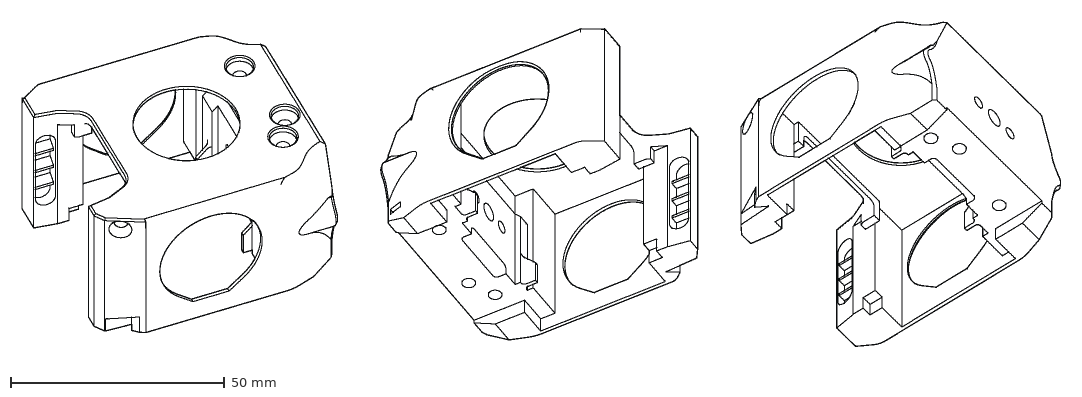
import cadquery as cq
import math

width = 53.0
length = 59.85
height = 36.5
half_width = width / 2
wall = 0.95
margin = 3.0
near = 0.05
overlap = 0.6

left_foot_front_x = -23.5
left_foot_chamfer_y = 4.9
left_foot_blend_radius = 5.7
right_foot_front_x = 19.8
right_foot_mid = (22.25, 1.7)
right_foot_side = (half_width, 10.35)

notch_front_x = 16.35
bay_half_width = 15.45
notch_bend_y = 5.5
notch_bend_x = 15.5
notch_back_half = 12.55
notch_back_radius = 4.05
notch_back_y = 11.95
notch_chamfer = 0.5
opening_half_width = 13.35
opening_top = 33.1
opening_radius = 1.5
gusset_bottom = 28.5
gusset_front_y = 9.3
foot_face_top = 32.3
lip_radius = 1.2
beam_thickness = 1.55
beam_back_y = notch_back_y + beam_thickness
chamber_front_y = 12.2

edge_round_drop = 3.5
edge_round_inset = 0.7

rear_wall_front_y = 42.2
rear_bay_left_x = -18.1
bay_back_y = 47.1
ledge_front_y = 43.8
ledge_top_z = 28.25
ledge_step_z = ledge_top_z - (bay_back_y - ledge_front_y)
raised_bottom_z = 3.9
recess_front_y = 8.6
recess_back_y = 46.1
panel_half_width = 12.25
panel_depth = 1.45

top_hole_radius = 12.55
top_hole_y = 32.0
side_hole_y = 27.0
side_hole_flat_half = 4.6
left_hole_radius, left_hole_z, left_hole_flat_z = 13.15, 20.6, 7.1
left_hole_chamfer = 0.5
left_rim_chamfer = 0.47
right_hole_radius, right_hole_z, right_hole_flat_z = 13.05, 18.7, 5.55

screw_places = [(-13.0, 51.1), (6.35, 54.4), (13.0, 51.1)]
screw_radius = 1.6
screw_head_radius = 3.25
screw_lip_chamfer = 0.35
screw_head_depth = 1.55
panel_hole_z = 17.25
panel_hole_radius = 2.2
panel_side_hole_x = 6.0
panel_side_hole_radius = 1.5

fin_inner_x = 13.4
fin_front_y = 40.4
fin_front_z = 9.6
fin_root_radius = 0.9

groove_half_width = 8.0
groove_top_z = 6.4
groove_depth = 3.0
groove_radius = 1.2
groove_floor_radius = 1.1

slot_length = 22.6
slot_width = 4.8
slot_depth = 2.4
slot_y = 2.8
slot_mid_z = {-1: 18.2, 1: 16.2}
tooth_pitch = 5.5
tooth_crest = 0.7
tooth_rise = 1.3
tooth_setback = 0.4

socket_radius = 2.7
socket_bottom_radius = 1.6
socket_depth = 2.4
socket_x = 23.9
socket_z = 33.35
latch_outline = [(22.25, 0.6), (22.75, 10.4), (24.55, 7.55), (25.85, 9.05), (25.85, 0.6)]
latch_low_z = 3.95
latch_high_z = 5.0

corner_start_y = 48.05
corner_rear_x = 22.55
corner_blend_radius = 10.5
top_corner_curve = [(25.75, 46.4), (24.35, 50.2), (20.1, 54.2), (17.85, 58.55)]
corner_flare_z = 22.75
rear_top_chamfer_y = 1.4
rear_top_chamfer_z = 1.3
rear_bottom_chamfer_y = 5.8
rear_bottom_chamfer_z = 3.05
bump_x = 26.0
bump_z = 17.3
bump_foot_low = 7.5
bump_foot_high = 24.55
bump_crest_half = 2.5
bump_crest_drop = 1.2
bump_foot_rise = (0.2, 1)
bump_crest_rise = (1, 1.4)
rear_edge_chamfer = 0.7
slit_y, slit_z = 56.85, 5.15
slit_length, slit_height, slit_depth = 3.35, 1.5, 1.8


def box(x0, x1, y0, y1, z0, z1):
    return cq.Workplane("XY").box(x1 - x0, y1 - y0, z1 - z0, centered=False).translate((x0, y0, z0))


def prism_x(points, x0, x1):
    """Extrude a (y, z) outline from x0 to x1."""
    return cq.Workplane("YZ").polyline(points).close().extrude(x1 - x0).translate((x0, 0, 0))


def mirrored(solid):
    """Return a solid together with its mirror image across x = 0."""
    return solid.union(solid.mirror("YZ"))


def body_outline():
    """Plan of the body with the front feet and slanted rear corners, blended where flats meet."""
    plan = (
        cq.Workplane("XY")
        .polyline([
            (left_foot_front_x, 0),
            (right_foot_front_x, 0),
            right_foot_mid,
            right_foot_side,
            (half_width, corner_start_y),
            (corner_rear_x, length),
            (-corner_rear_x, length),
            (-half_width, corner_start_y),
            (-half_width, left_foot_chamfer_y),
        ])
        .close()
        .extrude(height)
    )
    for side in (-1, 1):
        corner = cq.NearestToPointSelector((side * half_width, corner_start_y, height / 2))
        plan = plan.edges("|Z").edges(corner).fillet(corner_blend_radius)
        rear = cq.NearestToPointSelector((side * corner_rear_x, length, height / 2))
        plan = plan.edges("|Z").edges(rear).chamfer(rear_edge_chamfer)
    foot = cq.NearestToPointSelector((-half_width, left_foot_chamfer_y, height / 2))
    return plan.edges("|Z").edges(foot).fillet(left_foot_blend_radius)


def corner_bump():
    """Bell-shaped ridge along Y that stands out of the slanted rear corner."""
    crest_x = bump_x - bump_crest_drop
    base_x = corner_rear_x - margin
    upper_crest_fall = (-bump_crest_rise[0], bump_crest_rise[1])
    upper_foot_fall = (-bump_foot_rise[0], bump_foot_rise[1])
    ridge = (
        cq.Workplane("XZ", origin=(0, length, 0))
        .moveTo(base_x, bump_foot_low)
        .lineTo(corner_rear_x, bump_foot_low)
        .spline(
            [(crest_x, bump_z - bump_crest_half)],
            tangents=[bump_foot_rise, bump_crest_rise],
            includeCurrent=True,
        )
        .threePointArc((bump_x, bump_z), (crest_x, bump_z + bump_crest_half))
        .spline(
            [(corner_rear_x, bump_foot_high)],
            tangents=[upper_crest_fall, upper_foot_fall],
            includeCurrent=True,
        )
        .lineTo(base_x, bump_foot_high)
        .close()
        .extrude(length - corner_start_y)
    )
    rear_edge = cq.selectors.BoxSelector(
        (corner_rear_x + near, length - near, 0), (half_width, length + near, height)
    )
    return ridge.edges(rear_edge).chamfer(rear_edge_chamfer)


def top_corner_cut():
    """Flared scoop that widens the slanted rear corner into an S-curve at the top."""
    outside_x = half_width + margin
    front_y = rear_wall_front_y
    behind_y = length + margin
    slope = (half_width - corner_rear_x) / (length - corner_start_y)
    low = [
        (outside_x, corner_start_y - margin / slope),
        (corner_rear_x - margin * slope, behind_y),
        (outside_x, behind_y),
    ]
    rear_point = top_corner_curve[-1]
    curve = [(outside_x, front_y - margin), *top_corner_curve, (rear_point[0] - overlap, behind_y)]
    return (
        cq.Workplane("XY", origin=(0, 0, corner_flare_z))
        .polyline(low).close()
        .workplane(offset=height - corner_flare_z)
        .moveTo(*curve[0])
        .spline(curve[1:], includeCurrent=True)
        .lineTo(outside_x, behind_y)
        .close()
        .loft(ruled=True)
    )


def edge_round(start, end):
    """Cutter that rounds the upper edge running from start to end; material lies to the left."""
    along = cq.Vector(end[0] - start[0], end[1] - start[1], 0)
    outward = cq.Vector(along.y, -along.x, 0).normalized()
    radius = (edge_round_drop**2 + edge_round_inset**2) / (2 * edge_round_inset)
    half_angle = math.asin(edge_round_drop / radius) / 2
    mid_inset = radius * (1 - math.cos(half_angle))
    low_z = height - edge_round_drop
    mid_z = low_z + radius * math.sin(half_angle)
    plane = cq.Plane(origin=(start[0], start[1], 0), xDir=outward, normal=along.normalized() * -1)
    up = plane.yDir.z
    return (
        cq.Workplane(plane)
        .moveTo(0, up * low_z)
        .threePointArc((-mid_inset, up * mid_z), (-edge_round_inset, up * height))
        .lineTo(margin, up * height)
        .lineTo(margin, up * low_z)
        .close()
        .extrude(-along.Length)
    )


def notch_cut():
    """Front notch through the full height, narrowing in two steps to a rounded back."""
    notch = (
        cq.Workplane("XY")
        .polyline([
            (-notch_front_x, 0),
            (-notch_bend_x, notch_bend_y),
            (-notch_back_half, notch_back_y),
            (notch_back_half, notch_back_y),
            (notch_bend_x, notch_bend_y),
            (notch_front_x, 0),
        ])
        .close()
        .extrude(height)
    )
    for side in (-1, 1):
        back = cq.NearestToPointSelector((side * notch_back_half, notch_back_y, height / 2))
        notch = notch.edges("|Z").edges(back).fillet(notch_back_radius)
    return notch


def cavity_cut():
    """Inner space: main chamber, narrow rear bay above the ledge, and recess in the underside."""
    chamber_half = half_width - wall
    chamber = box(-chamber_half, chamber_half, chamber_front_y, rear_wall_front_y, -margin, height - wall)
    beam = box(-bay_half_width, bay_half_width, 0, beam_back_y, gusset_bottom, height)
    bay_start_y = rear_wall_front_y - overlap
    rear_bay = prism_x(
        [
            (bay_start_y, -margin),
            (ledge_front_y, -margin),
            (ledge_front_y, ledge_step_z),
            (bay_back_y, ledge_top_z),
            (bay_back_y, height - wall),
            (bay_start_y, height - wall),
        ],
        rear_bay_left_x, bay_half_width,
    )
    panel_y = ledge_front_y + panel_depth
    panel_top = ledge_step_z + panel_depth
    panel = box(-panel_half_width, panel_half_width, bay_start_y, panel_y, -margin, panel_top)
    recess = box(-chamber_half, chamber_half, bay_start_y, recess_back_y, -margin, raised_bottom_z)
    rear_slot = box(
        rear_bay_left_x, -rear_bay_left_x, recess_front_y, length + margin, -margin, raised_bottom_z
    )
    return chamber.cut(beam).union(rear_bay).union(panel).union(recess).union(rear_slot)


def front_opening_cut():
    """Space below the notch: wide between the feet, narrower between the gussets above."""
    lower = (
        cq.Workplane("XY", origin=(0, 0, -margin))
        .polyline([
            (-notch_front_x, 0),
            (-bay_half_width, notch_bend_y),
            (-bay_half_width, chamber_front_y + margin),
            (bay_half_width, chamber_front_y + margin),
            (bay_half_width, notch_bend_y),
            (notch_front_x, 0),
        ])
        .close()
        .extrude(gusset_bottom + margin)
    )
    upper = box(-opening_half_width, opening_half_width, 0, chamber_front_y + margin, 0, opening_top)
    face = box(-bay_half_width, bay_half_width, notch_bend_y / 2, gusset_front_y, 0, foot_face_top)
    return lower.union(upper.edges("|Y and >Z").fillet(opening_radius)).union(face)


def side_hole(radius, center_z, flat_half, flat_z, thickness):
    """Round hole whose lower sides run tangentially down to a short flat."""
    drop = center_z - flat_z
    reach = math.hypot(flat_half, drop)
    tangent_angle = math.atan2(-drop, flat_half) + math.acos(radius / reach)
    touch_y = radius * math.cos(tangent_angle)
    touch_z = center_z + radius * math.sin(tangent_angle)
    return (
        cq.Workplane("YZ", origin=(0, side_hole_y, 0))
        .moveTo(-flat_half, flat_z)
        .lineTo(flat_half, flat_z)
        .lineTo(touch_y, touch_z)
        .threePointArc((0, center_z + radius), (-touch_y, touch_z))
        .close()
        .extrude(thickness)
    )


def side_holes_cut():
    depth = 2 * wall
    left = side_hole(left_hole_radius, left_hole_z, side_hole_flat_half, left_hole_flat_z, depth)
    rim = side_hole(
        left_hole_radius + left_hole_chamfer, left_hole_z, side_hole_flat_half,
        left_hole_flat_z - left_hole_chamfer, left_hole_chamfer,
    )
    rim = rim.faces(">X").edges().chamfer(left_rim_chamfer)
    right = side_hole(right_hole_radius, right_hole_z, side_hole_flat_half, right_hole_flat_z, depth)
    left = left.union(rim).translate((-half_width, 0, 0))
    return left.union(right.translate((half_width - depth, 0, 0)))


def screw_cut():
    """One vertical screw hole with a chamfered head recess and conical seat, about the Z axis."""
    seat_z = height - screw_head_depth
    profile = [
        (0, -margin),
        (screw_radius, -margin),
        (screw_radius, seat_z - (screw_head_radius - screw_radius)),
        (screw_head_radius, seat_z),
        (screw_head_radius, height - screw_lip_chamfer),
        (screw_head_radius + screw_lip_chamfer, height),
        (0, height),
    ]
    return cq.Workplane("XZ").polyline(profile).close().revolve(360, (0, 0, 0), (0, 1, 0))


def panel_holes_cut():
    """Three holes through the rear wall."""
    plane = cq.Workplane("XZ", origin=(0, rear_wall_front_y, panel_hole_z))
    depth = length + margin - rear_wall_front_y
    sides = [(-panel_side_hole_x, 0), (panel_side_hole_x, 0)]
    return (
        plane.circle(panel_hole_radius).extrude(-depth)
        .union(plane.pushPoints(sides).circle(panel_side_hole_radius).extrude(-depth))
    )


def groove_cut():
    start_y = ledge_front_y
    end_y = ledge_front_y + panel_depth + groove_depth
    groove = box(-groove_half_width, groove_half_width, start_y, end_y, 0, groove_top_z)
    groove = groove.edges("|Y and >Z").fillet(groove_radius)
    return groove.faces(">Y").edges("not <Z").fillet(groove_floor_radius)


def fin():
    """Upright fin beside the panel: its top climbs at 45 degrees and its root flares into the ledge face."""
    climb = ledge_front_y - fin_front_y
    root_y = ledge_front_y + wall
    profile = [
        (fin_front_y, raised_bottom_z),
        (root_y, raised_bottom_z),
        (root_y, fin_front_z + climb + wall),
        (fin_front_y, fin_front_z),
    ]
    blade = prism_x(profile, fin_inner_x, fin_inner_x + wall)
    backing = box(panel_half_width, bay_half_width, ledge_front_y, root_y, raised_bottom_z, ledge_step_z)
    root = cq.selectors.BoxSelector(
        (fin_inner_x - near, ledge_front_y - near, raised_bottom_z + near),
        (fin_inner_x + wall + near, ledge_front_y + near, ledge_step_z),
    )
    return blade.union(backing).edges(root).fillet(fin_root_radius)


def foot_slot_cut(side):
    """Round-ended slot in a foot's inner face, crossed by teeth with flat undersides and sloping tops."""
    face_x = bay_half_width
    floor_x = notch_front_x + slot_depth
    slot = (
        cq.Workplane("YZ", origin=(face_x - overlap, slot_y, slot_mid_z[side]))
        .slot2D(slot_length, slot_width, 90)
        .extrude(floor_x - face_x + overlap)
    )
    crest_x = notch_front_x + tooth_setback
    for step in (-1, 0, 1):
        tooth_z = slot_mid_z[side] + step * tooth_pitch
        tooth = (
            cq.Workplane("XZ", origin=(0, slot_y - slot_width / 2, tooth_z))
            .polyline([
                (floor_x, -tooth_crest),
                (crest_x, -tooth_crest),
                (crest_x, 0),
                (floor_x, tooth_rise),
            ])
            .close()
            .extrude(-slot_width)
        )
        slot = slot.cut(tooth)
    return slot if side > 0 else slot.mirror("YZ")


def socket_cut():
    """Conical socket square to the slanted face of the right foot."""
    run_x = right_foot_side[0] - right_foot_mid[0]
    run_y = right_foot_side[1] - right_foot_mid[1]
    socket_y = right_foot_mid[1] + (socket_x - right_foot_mid[0]) * run_y / run_x
    inward = cq.Vector(-run_y, run_x, 0)
    cone = cq.Solid.makeCone(
        socket_radius, socket_bottom_radius, socket_depth,
        cq.Vector(socket_x, socket_y, socket_z), inward,
    )
    return cq.Workplane(obj=cone)


def latch_cut():
    """Notch with a sloping roof at the bottom of the right foot's slanted face."""
    low_x = latch_outline[0][0]
    high_x = latch_outline[-1][0]
    roof = (
        cq.Workplane("XZ")
        .polyline([(low_x, 0), (high_x, 0), (high_x, latch_high_z), (low_x, latch_low_z)])
        .close()
        .extrude(-right_foot_side[1])
    )
    return cq.Workplane("XY").polyline(latch_outline).close().extrude(height).intersect(roof)


def rear_chamfers_cut():
    reach = half_width + margin
    top = [(length - rear_top_chamfer_y, height), (length, height), (length, height - rear_top_chamfer_z)]
    bottom = [(length - rear_bottom_chamfer_y, 0), (length, 0), (length, rear_bottom_chamfer_z)]
    return prism_x(top, -reach, reach).union(prism_x(bottom, -reach, reach))


body = body_outline().cut(notch_cut())
front_edges = cq.selectors.BoxSelector(
    (left_foot_front_x + near, -near, height - near),
    (right_foot_side[0] - near, notch_back_y + near, height + near),
)
body = body.faces(">Z").edges(front_edges).chamfer(notch_chamfer)
body = body.cut(edge_round((-half_width, length), (-half_width, left_foot_chamfer_y)))
body = body.cut(edge_round((-half_width, left_foot_chamfer_y), (left_foot_front_x, 0)))
body = body.cut(edge_round(right_foot_side, (half_width, length)))
body = body.union(mirrored(corner_bump()))
body = body.cut(mirrored(top_corner_cut()))
body = body.cut(rear_chamfers_cut())

body = body.cut(cavity_cut()).cut(front_opening_cut())
lip_corner = (opening_half_width + near, notch_back_y + near, opening_top + near)
lip_edges = cq.selectors.BoxSelector(
    (-lip_corner[0], gusset_front_y + near, gusset_bottom + near), lip_corner
)
body = body.edges(lip_edges).fillet(lip_radius)
body = body.union(mirrored(fin()))
body = body.cut(groove_cut())

body = body.cut(cq.Workplane("XY").center(0, top_hole_y).circle(top_hole_radius).extrude(height))
body = body.cut(side_holes_cut())
for x, y in screw_places:
    body = body.cut(screw_cut().translate((x, y, 0)))
body = body.cut(panel_holes_cut())

for side in (-1, 1):
    body = body.cut(foot_slot_cut(side))
body = body.cut(socket_cut()).cut(latch_cut())
slit = cq.Workplane("XY").box(2 * slit_depth, slit_length, slit_height)
body = body.cut(slit.translate((-corner_rear_x - slit_depth / 2, slit_y, slit_z)))

result = body